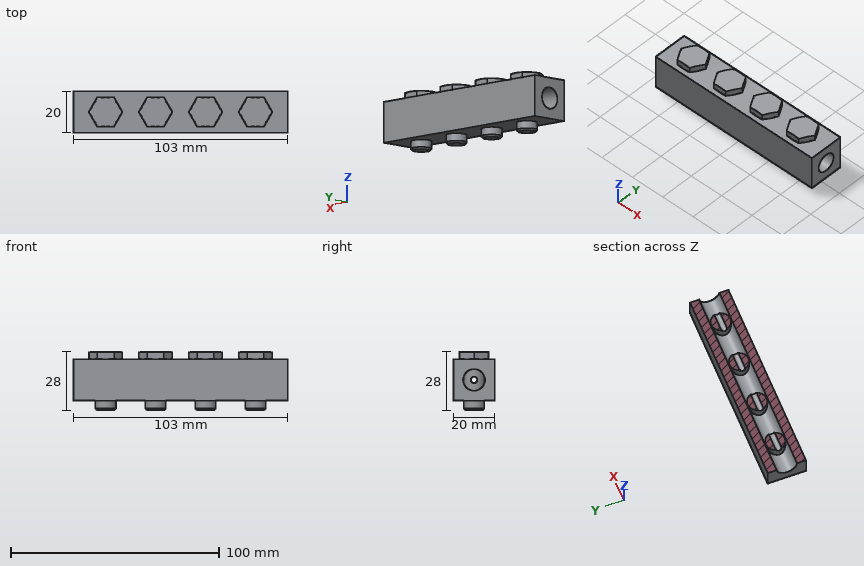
import cadquery as cq
import math

bar_length = 103.0
bar_side = 20.0
bore_diameter = 10.4

bolt_count = 4
bolt_pitch = 24.0
shank_diameter = 10.0
shank_overhang = 4.5
shank_tip_chamfer = 0.9
cross_hole_diameter = 3.0

head_sides = 6
head_height = 3.5
head_across_flats = 14.0
head_across_corners = head_across_flats / math.cos(math.pi / head_sides)
head_chamfer_angle = 15.0

bar_top = bar_side / 2
bolt_positions = [(i - (bolt_count - 1) / 2) * bolt_pitch for i in range(bolt_count)]


def make_lengthwise_rod(diameter):
    """Round rod on the bar's long axis, spanning its full length."""
    return cq.Workplane("YZ").circle(diameter / 2).extrude(bar_length / 2, both=True)


def make_bar():
    """Square bar with a round bore along its full length."""
    bar = cq.Workplane("XY").box(bar_length, bar_side, bar_side)
    return bar.cut(make_lengthwise_rod(bore_diameter))


def make_head():
    """Hexagonal head whose corners are trimmed conically at both ends."""
    hexagon = (
        cq.Workplane("XY", origin=(0, 0, bar_top))
        .polygon(head_sides, head_across_corners)
        .extrude(head_height)
    )
    corner_overhang = (head_across_corners - head_across_flats) / 2
    bevel_height = corner_overhang * math.tan(math.radians(head_chamfer_angle))
    trimming_disc = (
        cq.Workplane("XY", origin=(0, 0, bar_top))
        .circle(head_across_corners / 2)
        .extrude(head_height)
        .faces("<Z or >Z")
        .chamfer(bevel_height, corner_overhang)
    )
    return hexagon.intersect(trimming_disc)


def make_shank():
    """Round shank running from the head to a chamfered tip below the bar."""
    return (
        cq.Workplane("XY", origin=(0, 0, bar_top))
        .circle(shank_diameter / 2)
        .extrude(-(bar_side + shank_overhang))
        .faces("<Z")
        .chamfer(shank_tip_chamfer)
    )


bolt = make_head().union(make_shank())

result = make_bar()
for x in bolt_positions:
    result = result.union(bolt.translate((x, 0, 0)))

result = result.cut(make_lengthwise_rod(cross_hole_diameter))